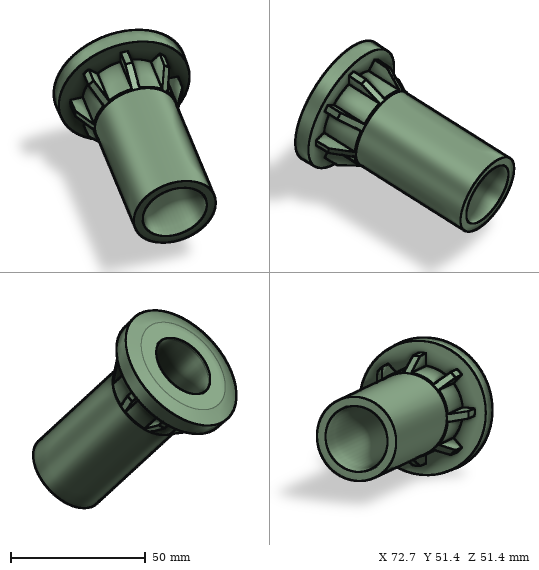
import cadquery as cq

total_length = 72.7
flange_bevel_length = 1.3
flange_back_x = 7.5
rib_slope_start_x = 13.5
rib_slope_end_x = 22.7
bore_lip_depth = 1.0

flange_radius = 25.7
flange_back_radius = 25.5
flange_face_radius = 19.5
rib_base_radius = 21.05
rib_slope_radius = 20.9
collar_radius = 16.25
tube_radius = 16.0
bore_lip_radius = 12.55
bore_radius = 12.5

rib_count = 8
rib_root_width = 3.0
rib_top_width = 2.8


def revolve_about_x(profile):
    """Solid of revolution about X from (x, radius) points; its ends drop to the axis."""
    first_x = profile[0][0]
    last_x = profile[-1][0]
    points = [(first_x, 0), *profile, (last_x, 0)]
    return cq.Workplane("XY").polyline(points).close().revolve(360, (0, 0, 0), (1, 0, 0))


def make_body():
    """Solid of revolution of the flange, conical rib envelope and tube."""
    return revolve_about_x([
        (0, flange_face_radius),
        (flange_bevel_length, flange_radius),
        (flange_back_x, flange_back_radius),
        (flange_back_x, rib_base_radius),
        (rib_slope_start_x, rib_slope_radius),
        (rib_slope_end_x, tube_radius),
        (total_length, tube_radius),
    ])


def make_rib_gaps():
    """Ring of material between the collar and the rib tops, with the ribs left out."""
    ring_length = rib_slope_end_x - flange_back_x
    ring = (
        cq.Workplane("YZ", origin=(flange_back_x, 0, 0))
        .circle(flange_radius)
        .circle(collar_radius)
        .extrude(ring_length)
    )
    half_root = rib_root_width / 2
    half_top = rib_top_width / 2
    beyond_ring = 2 * flange_radius
    rib = (
        cq.Workplane("YZ", origin=(flange_back_x, 0, 0))
        .polyline([
            (-half_root, 0),
            (half_root, 0),
            (half_root, tube_radius),
            (half_top, rib_base_radius),
            (half_top, beyond_ring),
            (-half_top, beyond_ring),
            (-half_top, rib_base_radius),
            (-half_root, tube_radius),
        ])
        .close()
        .extrude(ring_length)
    )
    for index in range(rib_count):
        ring = ring.cut(rib.rotate((0, 0, 0), (1, 0, 0), index * 360 / rib_count))
    return ring


def make_bore():
    """Through bore that narrows from the front face over a short lip."""
    return revolve_about_x([
        (0, bore_lip_radius),
        (bore_lip_depth, bore_radius),
        (total_length, bore_radius),
    ])


result = make_body().cut(make_rib_gaps()).cut(make_bore())